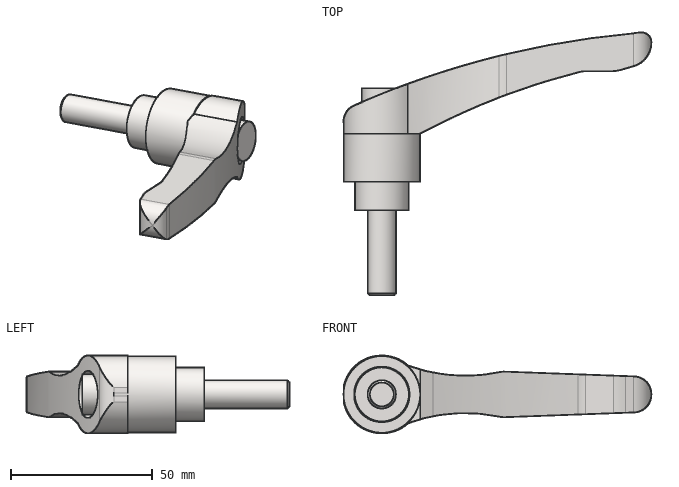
import cadquery as cq
import math


stud_diameter = 10.0
stud_length = 30.0
stud_chamfer = 0.8
collar_diameter = 19.0
collar_length = 10.0
hub_diameter = 27.0
hub_length = 17.0
collar_bore_diameter = 19.6
collar_bore_depth = 10.0

screw_diameter = 14.2
screw_top_y = 43.0
top_bore_diameter = 16.6

overall_length = 108.49
lever_top_y = 62.67
hub_radius = hub_diameter / 2
lever_base_y = collar_length + hub_length
lever_end_x = overall_length - hub_radius

head_diameter = 27.48
head_tangent_x = 9.19
waist_x = 29.5
waist_half_width = 6.6
grip_start_x = 41.2
grip_start_half_width = 7.85
taper_start_x = 43.8
taper_start_half_width = 8.05
tip_radius = 6.4
tip_start_x = lever_end_x - tip_radius

ramp_end = (18.0, 29.25)
underside_mid = (grip_start_x, 39.65)
underside_end = (69.0, 48.5)
finger_flat_y = 48.95
finger_corner_mid = (70.4, 48.83)
finger_flat_start = (71.7, finger_flat_y)
finger_flat_end = (81.5, finger_flat_y)
finger_curve_mid = (83.6, 49.25)
finger_curve_end = (85.7, 49.85)
tip_start_bottom = (tip_start_x, 50.7)
tip_start_top = (tip_start_x, 62.35)
crown_radius = 3.5
back_mid = (grip_start_x, 54.4)
head_end_top = (-9.6, 37.0)
head_end_mid = (-12.4, 34.8)
head_corner_y = 31.9

hub_strip_half_width = 0.5
rear_flat_x = -math.sqrt(hub_radius**2 - hub_strip_half_width**2)


def cylinder(diameter, start_y, end_y):
    """Cylinder on the Y axis between two levels."""
    wire = cq.Workplane("XZ", origin=(0, start_y, 0)).circle(diameter / 2)
    return wire.extrude(start_y - end_y)


def lever_side_solid():
    """Bowed side outline of the lever, extruded across its full width."""
    crown_centre_y = lever_top_y - crown_radius
    rise = crown_centre_y - tip_start_bottom[1]
    under_radius = (tip_radius**2 + rise**2) / (2 * tip_radius)
    mid_angle = math.asin(rise / under_radius) / 2
    tip_under_mid = (
        lever_end_x - under_radius * (1 - math.cos(mid_angle)),
        crown_centre_y - under_radius * math.sin(mid_angle),
    )
    outline = (
        cq.Workplane("XY")
        .moveTo(rear_flat_x, lever_base_y)
        .lineTo(hub_radius, lever_base_y)
        .lineTo(*ramp_end)
        .threePointArc(underside_mid, underside_end)
        .threePointArc(finger_corner_mid, finger_flat_start)
        .lineTo(*finger_flat_end)
        .threePointArc(finger_curve_mid, finger_curve_end)
        .lineTo(*tip_start_bottom)
        .threePointArc(tip_under_mid, (lever_end_x, crown_centre_y))
        .tangentArcPoint((lever_end_x - crown_radius, lever_top_y), relative=False)
        .tangentArcPoint(tip_start_top, relative=False)
        .threePointArc(back_mid, head_end_top)
        .threePointArc(head_end_mid, (rear_flat_x, head_corner_y))
        .close()
    )
    return outline.extrude(head_diameter / 2, both=True)


def lever_plan_solid():
    """Round head, waisted neck and tapered grip with a round tip, extruded along Y."""
    head_radius = head_diameter / 2
    tangent_z = math.sqrt(head_radius**2 - head_tangent_x**2)
    shoulder_x = (grip_start_x + taper_start_x) / 2
    shoulder_half_width = taper_start_half_width
    outline = (
        cq.Workplane("XZ", origin=(0, lever_base_y, 0))
        .moveTo(head_tangent_x, tangent_z)
        .threePointArc((waist_x, waist_half_width), (grip_start_x, grip_start_half_width))
        .threePointArc((shoulder_x, shoulder_half_width), (taper_start_x, taper_start_half_width))
        .lineTo(tip_start_x, tip_radius)
        .threePointArc((lever_end_x, 0), (tip_start_x, -tip_radius))
        .lineTo(taper_start_x, -taper_start_half_width)
        .threePointArc((shoulder_x, -shoulder_half_width), (grip_start_x, -grip_start_half_width))
        .threePointArc((waist_x, -waist_half_width), (head_tangent_x, -tangent_z))
        .threePointArc((-head_radius, 0), (head_tangent_x, tangent_z))
        .close()
    )
    return outline.extrude(lever_base_y - lever_top_y)


def hub_strip():
    """Slice of the hub cylinder carried up into the lever head, through to its rear flat."""
    slice_width = 4 * hub_strip_half_width
    core = cylinder(hub_diameter, lever_base_y, head_corner_y)
    return core.intersect(cq.Workplane("XY").box(hub_diameter, 2 * lever_top_y, slice_width))


def lever():
    body = lever_side_solid().intersect(lever_plan_solid()).union(hub_strip())
    return body.cut(cylinder(top_bore_diameter, lever_base_y, lever_top_y))


def hub():
    bore_end_y = collar_length + collar_bore_depth
    body = cylinder(hub_diameter, collar_length, lever_base_y)
    return body.cut(cylinder(collar_bore_diameter, collar_length, bore_end_y))


def insert_parts():
    """Collar seated in the hub bore, the chamfered stud below it and the screw head above."""
    collar = cylinder(collar_diameter, 0, collar_length + collar_bore_depth)
    stud = cylinder(stud_diameter, -stud_length, 0).faces("<Y").chamfer(stud_chamfer)
    screw_head = cylinder(screw_diameter, lever_base_y, screw_top_y)
    return [collar, stud, screw_head]


part = hub().union(lever())
for insert_part in insert_parts():
    part = part.union(insert_part)
result = part.solids()